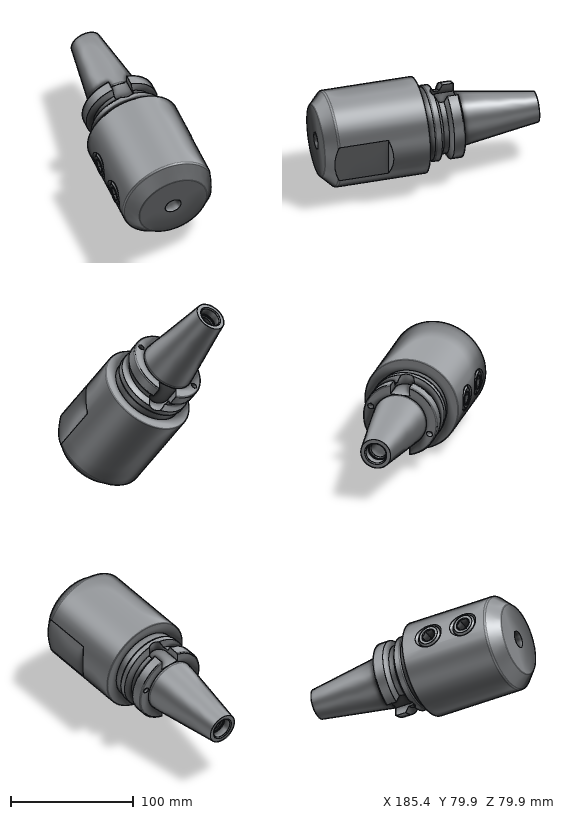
import cadquery as cq
import math


total_length = 185.4
taper_length = 65.5
flange_start = 67.3
flange_end = 92.5
groove_start = 79.5
groove_width = 4.6
nose_start = 99.0

taper_small_radius = 12.8
taper_large_radius = 22.6
flange_radius = 31.5
groove_radius = 26.5
neck_radius = 30.4
nose_radius = 39.95
nose_tip_radius = 29.8

flange_rounding = 1.0
nose_back_rounding = 0.5
nose_shoulder_rounding = 2.5
nose_tip_rounding = 0.7

slot_width = 16.1
slot_end = 88.8
slot_floor = 22.6

flat_offset = 36.3
flat_start = 130.2

bore_radius = 6.95
pilot_radius = 8.5
pilot_depth = 7.5
pilot_chamfer = 1.0
counterbore_radius = 8.0
counterbore_depth = 8.5

channel_radius = 2.2
channel_circle_radius = 26.7
channel_angle = 20
channel_lean = 30

screw_positions = (123.3, 155.2)
screw_radius = 10.0
screw_chamfer = 1.7
screw_head_offset = 39.7
screw_hole_mouth_radius = 12.0
socket_across_flats = 10.0
socket_depth = 10.0
socket_mouth_radius = 6.0


def revolve_about_x(points):
    """Revolve a closed (x, radius) outline about the X axis."""
    return cq.Workplane("XY").polyline(points).close().revolve(360, (0, 0, 0), (1, 0, 0))


def round_rims(body, rims, rounding):
    """Fillet the circular edges found at the given (x, radius) places."""
    def is_rim(edge):
        if edge.geomType() != "CIRCLE":
            return False
        x = edge.arcCenter().x
        return any(math.hypot(x - rim_x, edge.radius() - rim_r) < 0.002 for rim_x, rim_r in rims)

    return body.newObject([edge for edge in body.edges().vals() if is_rim(edge)]).fillet(rounding)


def make_holder_blank():
    """Turned outside shape; the gripper groove has a 60 degree V form."""
    groove_end = groove_start + groove_width
    groove_run = (flange_radius - groove_radius) * math.tan(math.radians(30))
    front_rim_end = groove_start - groove_run
    rear_rim_start = groove_end + groove_run
    nose_cone_start = total_length - (nose_radius - nose_tip_radius)
    blank = revolve_about_x([
        (0, 0),
        (0, taper_small_radius),
        (taper_length, taper_large_radius),
        (flange_start, taper_large_radius),
        (flange_start, flange_radius),
        (front_rim_end, flange_radius),
        (groove_start, groove_radius),
        (groove_end, groove_radius),
        (rear_rim_start, flange_radius),
        (flange_end, flange_radius),
        (flange_end, neck_radius),
        (nose_start, neck_radius),
        (nose_start, nose_radius),
        (nose_cone_start, nose_radius),
        (total_length, nose_tip_radius),
        (total_length, 0),
    ])
    flange_rims = [(flange_start, flange_radius), (flange_end, flange_radius)]
    blank = round_rims(blank, flange_rims, flange_rounding)
    blank = round_rims(blank, [(nose_start, nose_radius)], nose_back_rounding)
    blank = round_rims(blank, [(nose_cone_start, nose_radius)], nose_shoulder_rounding)
    return round_rims(blank, [(total_length, nose_tip_radius)], nose_tip_rounding)


def make_drive_slot(side):
    """Round-ended slot cutter; side is +1 for the top and -1 for the bottom."""
    arc_center = slot_end - slot_width / 2
    return (
        cq.Workplane("XY", origin=(0, 0, side * slot_floor))
        .moveTo(taper_length, -slot_width / 2)
        .lineTo(arc_center, -slot_width / 2)
        .threePointArc((slot_end, 0), (arc_center, slot_width / 2))
        .lineTo(taper_length, slot_width / 2)
        .close()
        .extrude(side * flange_radius)
    )


def make_relief_cutter():
    """Cutter for the flat, with a 45 degree run-out at its start."""
    margin = 9.3
    return (
        cq.Workplane("XY", origin=(0, 0, -nose_radius))
        .polyline([
            (flat_start + nose_radius - flat_offset, flat_offset),
            (total_length + margin, flat_offset),
            (total_length + margin, nose_radius + margin),
            (flat_start - margin, nose_radius + margin),
        ])
        .close()
        .extrude(2 * nose_radius)
    )


def make_bore():
    """Through bore, opened at the taper end by a chamfered pilot and a coned counterbore."""
    mouth_radius = pilot_radius + pilot_chamfer
    return revolve_about_x([
        (0, 0),
        (0, mouth_radius),
        (pilot_chamfer, pilot_radius),
        (pilot_depth, pilot_radius),
        (pilot_depth, counterbore_radius),
        (counterbore_depth, counterbore_radius),
        (counterbore_depth + counterbore_radius - bore_radius, bore_radius),
        (total_length, bore_radius),
        (total_length, 0),
    ])


def make_coolant_channel(turn):
    """Channel leaning inward from the flange face until it meets the axis."""
    lean = math.radians(channel_lean)
    overshoot = 1.9
    length = channel_circle_radius / math.sin(lean)
    direction = cq.Vector(math.cos(lean), -math.sin(lean), 0)
    entry = cq.Vector(flange_start, channel_circle_radius, 0)
    channel = cq.Solid.makeCylinder(
        channel_radius, length + overshoot, entry - direction * overshoot, direction
    )
    return cq.Workplane(channel).rotate((0, 0, 0), (1, 0, 0), turn)


def revolve_about_screw_axis(x, points):
    """Revolve a closed (radius, y) outline about the screw axis at x."""
    return (
        cq.Workplane("XY", origin=(x, 0, 0))
        .polyline(points)
        .close()
        .revolve(360, (0, 0, 0), (0, 1, 0))
    )


def make_screw_hole(x):
    """Radial hole from the -Y side to the bore, with a 45 degree mouth."""
    mouth_depth = screw_hole_mouth_radius - screw_radius
    return revolve_about_screw_axis(x, [
        (0, 0),
        (screw_radius, 0),
        (screw_radius, mouth_depth - nose_radius),
        (screw_hole_mouth_radius, -nose_radius),
        (0, -nose_radius),
    ])


def make_holder():
    holder = make_holder_blank()
    for side in (1, -1):
        holder = holder.cut(make_drive_slot(side))
    holder = holder.cut(make_relief_cutter()).cut(make_bore())
    for turn in (channel_angle, channel_angle + 180):
        holder = holder.cut(make_coolant_channel(turn))
    for x in screw_positions:
        holder = holder.cut(make_screw_hole(x))
    return holder


def make_clamping_screw(x):
    """Headless screw with a chamfered outer end and a hexagon socket."""
    face = -screw_head_offset
    body = revolve_about_screw_axis(x, [
        (0, -bore_radius),
        (screw_radius, -bore_radius),
        (screw_radius, face + screw_chamfer),
        (screw_radius - screw_chamfer, face),
        (0, face),
    ])
    across_corners = socket_across_flats / math.cos(math.radians(30))
    socket = (
        cq.Workplane("XZ", origin=(x, face, 0))
        .polygon(6, across_corners)
        .extrude(-socket_depth)
    )
    socket_countersink = revolve_about_screw_axis(x, [
        (0, face),
        (socket_mouth_radius, face),
        (0, face + socket_mouth_radius * math.tan(math.radians(30))),
    ])
    return body.cut(socket).cut(socket_countersink)


holder = make_holder()
screws = [make_clamping_screw(x) for x in screw_positions]

result = cq.Compound.makeCompound([holder.val(), *[screw.val() for screw in screws]])